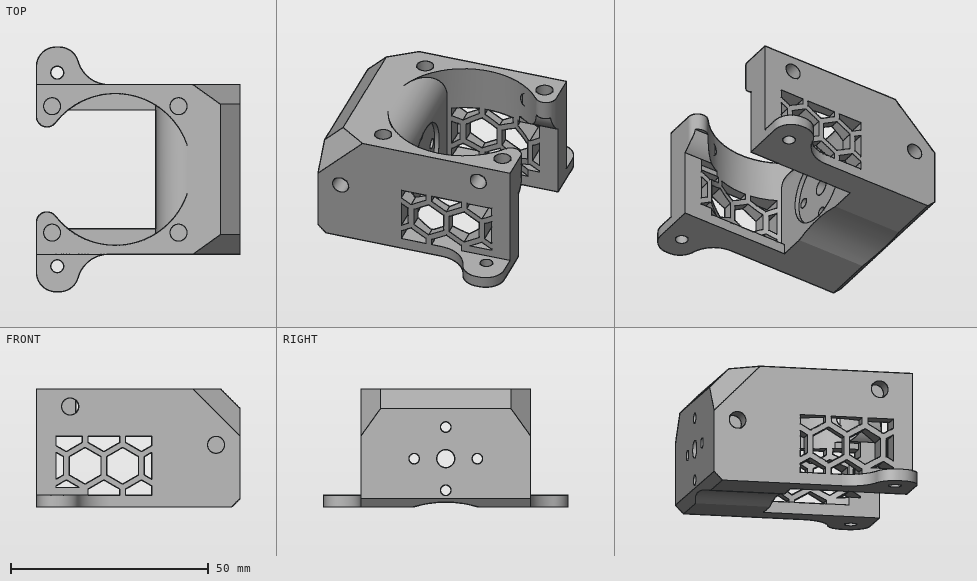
import cadquery as cq
import math

LENGTH = 51.6
WIDTH = 43.0
HEIGHT = 29.94
HALF_WIDTH = WIDTH / 2

TOP_CHAMFER = 5.0
CORNER_CHAMFER_SIDE = 5.0
CORNER_CHAMFER_LENGTH = 12.0
BOTTOM_CHAMFER = 2.15

EAR_SPAN = 62.0
EAR_THICKNESS = 3.0
EAR_RADIUS = 5.0
EAR_FLAT = 0.8
EAR_FILLET = 8.0
EAR_HOLE_X = 5.3
EAR_HOLE_Y = 24.5
EAR_HOLE_DIAMETER = 3.2

DUCT_X = 20.0
DUCT_RADIUS = 19.2
DUCT_FLOOR = 3.0
BACK_WALL_X = 30.2
BACK_WALL_RADIUS = 8.0
LIP_RADIUS = 2.7
SLOT_HALF_WIDTH = 15.0
SLOT_ROOF = 25.0
SHOULDER_RADIUS = 7.0
SHOULDER_Y = 18.5
SHOULDER_Z = 25.5
SHOULDER_FOOT_Z = SHOULDER_Z - math.sqrt(SHOULDER_RADIUS**2 - (SHOULDER_Y - SLOT_HALF_WIDTH) ** 2)

SCREW_DEPTH = 5.1
SCREW_PITCH = 32.0
TOP_HOLE_DIAMETER = 4.3
SIDE_HOLE_DIAMETER = 4.3
SIDE_HOLES = [(8.55, 25.45), (45.5, 15.75)]

MOTOR_Z = 12.25
MOTOR_DIAMETER = 20.3
MOTOR_SEAT_DEPTH = 1.2
SHAFT_HOLE_DIAMETER = 4.5
MOTOR_SCREW_DIAMETER = 2.6
MOTOR_SCREW_CIRCLE = 16.0

RELIEF_RISE = 1.25
RELIEF_RADIUS = 28.0

GRILLE_X = (5.0, 29.2)
GRILLE_Z = (3.0, 17.9)
GRILLE_SILL_X = 12.3
GRILLE_SILL_Z = 5.0
GRILLE_RELIEF_Y = 17.0
HEX_FLATS = 8.0
HEX_PITCH = 9.5
HEX_ROWS = (-1, 0, 1)
HEX_COLUMNS = (-2, -1, 0, 1, 2)


def box(x_range, y_range, z_range):
    """Axis-aligned box between the given limits."""
    sizes = [high - low for low, high in (x_range, y_range, z_range)]
    corner = (x_range[0], y_range[0], z_range[0])
    return cq.Workplane("XY").box(*sizes, centered=False).translate(corner)


def chamfered_body():
    """Block with a chamfered bottom back edge and three facets round the top back edge."""
    body = (
        cq.Workplane("XY")
        .box(LENGTH, WIDTH, HEIGHT, centered=(False, True, False))
        .faces("<Z").edges(">X").chamfer(BOTTOM_CHAMFER)
    )
    diagonal = cq.Plane(origin=(LENGTH, 0, HEIGHT), xDir=(0, 1, 0), normal=(1, 0, -1))
    middle_depth = TOP_CHAMFER / math.sqrt(2)
    side_depth = CORNER_CHAMFER_LENGTH / math.sqrt(2)
    facet_half_width = HALF_WIDTH - CORNER_CHAMFER_SIDE
    cutter = (
        cq.Workplane(diagonal)
        .moveTo(-HALF_WIDTH, -side_depth)
        .lineTo(-facet_half_width, -middle_depth)
        .lineTo(facet_half_width, -middle_depth)
        .lineTo(HALF_WIDTH, -side_depth)
        .lineTo(HALF_WIDTH, side_depth)
        .lineTo(-HALF_WIDTH, side_depth)
        .close()
        .extrude(LENGTH, both=True)
    )
    return body.cut(cutter)


def ear():
    """Ear on the +Y side, blended into the body by a concave arc; its root lies inside the block."""
    top_y = EAR_SPAN / 2
    round_y = top_y - EAR_RADIUS
    round_x = EAR_RADIUS + EAR_FLAT
    fillet_y = HALF_WIDTH + EAR_FILLET
    rise = fillet_y - round_y
    run = math.sqrt((EAR_RADIUS + EAR_FILLET) ** 2 - rise**2)
    fillet_x = round_x + run
    share = EAR_RADIUS / (EAR_RADIUS + EAR_FILLET)
    tangent_point = (round_x + run * share, round_y + rise * share)
    return (
        cq.Workplane("XY")
        .moveTo(0, 0)
        .lineTo(0, round_y)
        .radiusArc((EAR_RADIUS, top_y), EAR_RADIUS)
        .lineTo(round_x, top_y)
        .radiusArc(tangent_point, EAR_RADIUS)
        .radiusArc((fillet_x, HALF_WIDTH), -EAR_FILLET)
        .lineTo(fillet_x, 0)
        .close()
        .extrude(EAR_THICKNESS)
        .cut(
            cq.Workplane("XY")
            .center(EAR_HOLE_X, EAR_HOLE_Y)
            .circle(EAR_HOLE_DIAMETER / 2)
            .extrude(EAR_THICKNESS)
        )
    )


def duct_opening():
    """Round fan opening with a mouth at the front, flared by the rounded lips."""
    lip_distance = DUCT_RADIUS + LIP_RADIUS
    lip_run = DUCT_X - LIP_RADIUS
    lip_y = math.sqrt(lip_distance**2 - lip_run**2)
    share = LIP_RADIUS / lip_distance
    tangent_x = LIP_RADIUS + lip_run * share
    tangent_y = lip_y * (1 - share)
    outline = (
        cq.Workplane("XY")
        .workplane(offset=DUCT_FLOOR)
        .moveTo(0, -lip_y)
        .radiusArc((tangent_x, -tangent_y), LIP_RADIUS)
        .threePointArc((DUCT_X + DUCT_RADIUS, 0), (tangent_x, tangent_y))
        .radiusArc((0, lip_y), LIP_RADIUS)
        .close()
    )
    return outline.extrude(HEIGHT - DUCT_FLOOR)


def duct_side_profile():
    """Space in front of the back wall, whose top rolls over to meet the top face."""
    return (
        cq.Workplane("XZ")
        .moveTo(0, 0)
        .lineTo(BACK_WALL_X, 0)
        .lineTo(BACK_WALL_X, HEIGHT - BACK_WALL_RADIUS)
        .radiusArc((BACK_WALL_X + BACK_WALL_RADIUS, HEIGHT), BACK_WALL_RADIUS)
        .lineTo(0, HEIGHT)
        .close()
        .extrude(HALF_WIDTH, both=True)
    )


def duct_slot():
    """Slot open to the front and base, with convex shoulders under its narrower roof."""
    roof_half_width = SHOULDER_Y - math.sqrt(SHOULDER_RADIUS**2 - (SHOULDER_Z - SLOT_ROOF) ** 2)
    return (
        cq.Workplane("YZ")
        .moveTo(-SLOT_HALF_WIDTH, 0)
        .lineTo(SLOT_HALF_WIDTH, 0)
        .lineTo(SLOT_HALF_WIDTH, SHOULDER_FOOT_Z)
        .radiusArc((roof_half_width, SLOT_ROOF), SHOULDER_RADIUS)
        .lineTo(-roof_half_width, SLOT_ROOF)
        .radiusArc((-SLOT_HALF_WIDTH, SHOULDER_FOOT_Z), SHOULDER_RADIUS)
        .close()
        .extrude(BACK_WALL_X)
    )


def duct():
    """Whole air passage; the slot stays within the side profile of the back wall."""
    return duct_opening().intersect(duct_side_profile()).union(duct_slot())


def top_holes():
    """Four blind fan screw holes in the top face."""
    return (
        cq.Workplane("XY")
        .workplane(offset=HEIGHT - SCREW_DEPTH)
        .center(DUCT_X, 0)
        .rect(SCREW_PITCH, SCREW_PITCH, forConstruction=True)
        .vertices()
        .circle(TOP_HOLE_DIAMETER / 2)
        .extrude(SCREW_DEPTH)
    )


def side_holes():
    """Blind screw holes in the -Y side."""
    return (
        cq.Workplane("XZ", origin=(0, -HALF_WIDTH, 0))
        .pushPoints(SIDE_HOLES)
        .circle(SIDE_HOLE_DIAMETER / 2)
        .extrude(-SCREW_DEPTH)
    )


def motor_seat():
    """Round recess in the back wall with shaft and screw holes through to the back."""
    back_wall = cq.Workplane("YZ", origin=(BACK_WALL_X, 0, MOTOR_Z))
    recess = back_wall.circle(MOTOR_DIAMETER / 2).extrude(MOTOR_SEAT_DEPTH)
    shaft_hole = back_wall.circle(SHAFT_HOLE_DIAMETER / 2).extrude(LENGTH - BACK_WALL_X)
    screw_holes = (
        back_wall.polarArray(MOTOR_SCREW_CIRCLE / 2, 0, 360, 4)
        .circle(MOTOR_SCREW_DIAMETER / 2)
        .extrude(LENGTH - BACK_WALL_X)
    )
    return recess.union(shaft_hole).union(screw_holes)


def base_relief():
    """Shallow arch along X under the back wall."""
    return (
        cq.Workplane("YZ", origin=(BACK_WALL_X, 0, RELIEF_RISE - RELIEF_RADIUS))
        .circle(RELIEF_RADIUS)
        .extrude(LENGTH - BACK_WALL_X)
    )


def grille():
    """Pointed-top hexagons through both side walls, trimmed to a window with a raised sill."""
    centre_x = sum(GRILLE_X) / 2
    centre_z = sum(GRILLE_Z) / 2
    row_pitch = HEX_PITCH * math.sqrt(3) / 2
    corner_diameter = HEX_FLATS * 2 / math.sqrt(3)
    centres = []
    for row in HEX_ROWS:
        shift = 0 if row else HEX_PITCH / 2
        for column in HEX_COLUMNS:
            centres.append((row * row_pitch, column * HEX_PITCH + shift))
    hexagons = (
        cq.Workplane(cq.Plane(origin=(centre_x, 0, centre_z), xDir=(0, 0, 1), normal=(0, 1, 0)))
        .pushPoints(centres)
        .polygon(6, corner_diameter)
        .extrude(HALF_WIDTH, both=True)
    )
    across = (-HALF_WIDTH, HALF_WIDTH)
    window = box(GRILLE_X, across, GRILLE_Z)
    sill = box((0, GRILLE_SILL_X), across, (0, GRILLE_SILL_Z))
    inner = (-GRILLE_RELIEF_Y, GRILLE_RELIEF_Y)
    relief = box((GRILLE_X[0], GRILLE_SILL_X), inner, (GRILLE_Z[0], SHOULDER_FOOT_Z))
    return hexagons.intersect(window.union(relief).cut(sill))


result = chamfered_body()
for side in (ear(), ear().mirror("XZ")):
    result = result.union(side)
for cutter in (
    duct(),
    top_holes(),
    side_holes(),
    side_holes().mirror("XZ"),
    motor_seat(),
    base_relief(),
    grille(),
):
    result = result.cut(cutter)